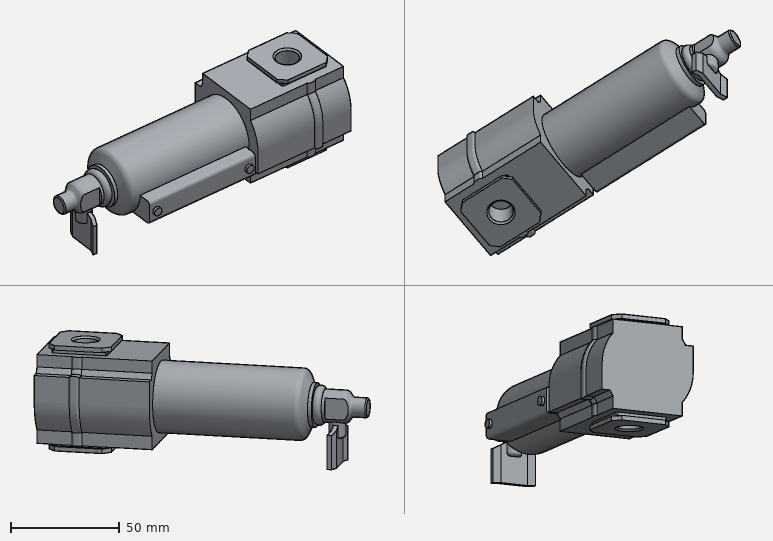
import cadquery as cq
import math


overall_length = 152.8

head_length = 54.5
head_half_width = 17.9
head_half_height = 21.1
shoulder_half_width = 23.5
shoulder_top = 12.5
shoulder_inner = 19.5
bevel_top = 15.3
curve_end = -14.7

rib_height = 0.8
rib_top_width = 2.0
rib_foot_width = 4.7
rib_root = 0.6

port_y = 35.6
pad_size = 29.5
pad_corner = 3.5
pad_outer_z = 25.0
pad_inner_z = 22.9
neck_size = 26.0
neck_corner = 0.6
port_radius = 5.7
port_mouth_radius = 6.5
port_mouth_depth = 0.9
port_depth = 12.2

bowl_radius = 16.8
bowl_corner_y = -68.6
bowl_corner_fillet = 3.0
collar_radius = 10.4
collar_start_y = -71.8
bowl_end_y = -73.6

gauge_length = 61.9
gauge_centre_y = -32.9
gauge_outer_x = 24.0
gauge_top = 0.0
gauge_bottom = -12.5
gauge_fillet = 1.8
screw_radius = 2.1
screw_head_x = 25.4
screw_spacing = 54.0

ring_radius = 9.3
ring_curve = 2.3
ring_crown_y = -75.5
cock_radius = 15.5 / 2
cock_shoulder_y = -88.6
cock_shoulder_fillet = 2.1
flat_half_width = 11.8 / 2
flat_start_y = -79.2
nozzle_radius = 9.3 / 2
nozzle_start_y = -91.0
nozzle_root_fillet = 1.0
nozzle_end_y = head_length - overall_length
nozzle_chamfer = 0.6

stem_y = -83.6
stem_radius = 7.8 / 2
stem_end_z = -14.8
stem_fillet = 1.5
wing_thickness = 2.3
wing_half_width = 10.2
wing_bend_x = 6.9
wing_tip_offset = 1.45
wing_bottom = -27.8
wing_side_top = -11.6
wing_peak = -6.3


def flank_path(workplane):
    """Left flank of the head section, from the upper edge down to the lower one."""
    half_chord = math.hypot(shoulder_half_width - head_half_width, curve_end) / 2
    flank_radius = 2 * half_chord**2 / (shoulder_half_width - head_half_width)
    return (
        workplane.moveTo(-head_half_width, head_half_height)
        .lineTo(-head_half_width, bevel_top)
        .lineTo(-shoulder_inner, shoulder_top)
        .lineTo(-shoulder_half_width, shoulder_top)
        .lineTo(-shoulder_half_width, 0)
        .radiusArc((-head_half_width, curve_end), -flank_radius)
        .lineTo(-head_half_width, -head_half_height)
    )


def half_turn(shape):
    return shape.rotate((0, 0, 0), (0, 1, 0), 180)


def circles_at(y):
    """Selects the edges of a turned shape that lie at one place along its axis."""
    margin = 0.2
    return cq.selectors.BoxSelector(
        (-bowl_radius, y - margin, -bowl_radius),
        (bowl_radius, y + margin, bowl_radius),
    )


def make_head_block():
    """Section with the same flank on both sides, turned half round about Y."""
    left_half = flank_path(cq.Workplane("XZ")).lineTo(0, -head_half_height).lineTo(0, head_half_height)
    left_half = left_half.close().extrude(-head_length)
    return left_half.union(half_turn(left_half))


def make_rib():
    """Rib with hollow sides that follows the left flank from top to bottom."""
    half_top = rib_top_width / 2
    half_foot = rib_foot_width / 2
    side_run = half_foot - half_top
    side_radius = (side_run**2 + rib_height**2) / (2 * rib_height)
    section = (
        cq.Workplane("XY", origin=(-head_half_width, port_y, head_half_height))
        .moveTo(rib_root, -half_foot)
        .lineTo(0, -half_foot)
        .radiusArc((-rib_height, -half_top), side_radius)
        .lineTo(-rib_height, half_top)
        .radiusArc((0, half_foot), side_radius)
        .lineTo(rib_root, half_foot)
        .close()
    )
    path = flank_path(cq.Workplane("XZ", origin=(0, port_y, 0)))
    return section.sweep(path, transition="right")


def cornered_plate(size, corner, bottom, top):
    plate = cq.Workplane("XY", origin=(0, port_y, bottom)).rect(size, size).extrude(top - bottom)
    return plate.edges("|Z").chamfer(corner)


def make_port_pad():
    neck = cornered_plate(neck_size, neck_corner, head_half_height, pad_inner_z)
    return neck.union(cornered_plate(pad_size, pad_corner, pad_inner_z, pad_outer_z))


def make_port_bore():
    """Blind bore with a countersunk mouth, turned about the port axis."""
    return (
        cq.Workplane("XZ", origin=(0, port_y, 0))
        .moveTo(0, pad_outer_z)
        .lineTo(port_mouth_radius, pad_outer_z)
        .lineTo(port_radius, pad_outer_z - port_mouth_depth)
        .lineTo(port_radius, pad_outer_z - port_depth)
        .lineTo(0, pad_outer_z - port_depth)
        .close()
        .revolve(360, (0, 0), (0, 1))
    )


def make_head():
    head = make_head_block()
    for feature in (make_rib(), make_port_pad()):
        head = head.union(feature).union(half_turn(feature))
    bore = make_port_bore()
    return head.cut(bore).cut(half_turn(bore))


def make_gauge():
    """Level gauge: a rounded strip that starts at the bowl axis, with a screw head near each end."""
    height = gauge_top - gauge_bottom
    centre_z = (gauge_top + gauge_bottom) / 2
    strip = (
        cq.Workplane("XY")
        .box(gauge_outer_x, gauge_length, height, centered=(False, True, True))
        .translate((0, gauge_centre_y, centre_z))
        .edges("|Y and >X")
        .fillet(gauge_fillet)
    )
    screws = (
        cq.Workplane("YZ", origin=(0, gauge_centre_y, centre_z))
        .pushPoints([(-screw_spacing / 2, 0), (screw_spacing / 2, 0)])
        .circle(screw_radius)
        .extrude(screw_head_x)
    )
    return strip.union(screws)


def make_bowl():
    shell = (
        cq.Workplane("XY")
        .lineTo(bowl_radius, 0)
        .lineTo(bowl_radius, bowl_corner_y)
        .lineTo(collar_radius, collar_start_y)
        .lineTo(collar_radius, bowl_end_y)
        .lineTo(0, bowl_end_y)
        .close()
        .revolve(360, (0, 0), (0, 1))
    )
    shell = shell.edges(circles_at(bowl_corner_y)).fillet(bowl_corner_fillet)
    return shell.union(make_gauge())


def make_cock_body():
    """Turned body with a rounded ring, a sloping shoulder and a nozzle, and a flat on each side."""
    curve_centre = ring_radius - ring_curve
    ring_start_radius = curve_centre + math.sqrt(ring_curve**2 - (bowl_end_y - ring_crown_y) ** 2)
    ring_end_y = ring_crown_y - math.sqrt(ring_curve**2 - (cock_radius - curve_centre) ** 2)
    body = (
        cq.Workplane("XY")
        .moveTo(0, bowl_end_y)
        .lineTo(ring_start_radius, bowl_end_y)
        .radiusArc((ring_radius, ring_crown_y), ring_curve)
        .radiusArc((cock_radius, ring_end_y), ring_curve)
        .lineTo(cock_radius, cock_shoulder_y)
        .lineTo(nozzle_radius, nozzle_start_y)
        .lineTo(nozzle_radius, nozzle_end_y)
        .lineTo(0, nozzle_end_y)
        .close()
        .revolve(360, (0, 0), (0, 1))
    )
    body = body.edges(circles_at(cock_shoulder_y)).fillet(cock_shoulder_fillet)
    body = body.edges(circles_at(nozzle_start_y)).fillet(nozzle_root_fillet)
    body = body.faces("<Y").edges().chamfer(nozzle_chamfer)
    flat_length = flat_start_y - nozzle_start_y
    flat_cut = (
        cq.Workplane("XY")
        .box(cock_radius, flat_length, 2 * cock_radius, centered=(False, False, True))
        .translate((flat_half_width, nozzle_start_y, 0))
    )
    return body.cut(flat_cut).cut(half_turn(flat_cut))


def make_wing():
    """Bent plate: the -X tip leans to +Y and the +X tip to -Y; its top rises to a peak in the stem."""
    half = wing_thickness / 2
    plan = (
        cq.Workplane("XY", origin=(0, stem_y, wing_bottom))
        .moveTo(-wing_half_width, wing_tip_offset + half)
        .lineTo(-wing_bend_x, half)
        .lineTo(wing_bend_x, half)
        .lineTo(wing_half_width, half - wing_tip_offset)
        .lineTo(wing_half_width, -half - wing_tip_offset)
        .lineTo(wing_bend_x, -half)
        .lineTo(-wing_bend_x, -half)
        .lineTo(-wing_half_width, wing_tip_offset - half)
        .close()
        .extrude(wing_peak - wing_bottom)
    )
    outline = (
        cq.Workplane("XZ", origin=(0, stem_y, 0))
        .moveTo(-wing_half_width, wing_bottom)
        .lineTo(-wing_half_width, wing_side_top)
        .lineTo(0, wing_peak)
        .lineTo(wing_half_width, wing_side_top)
        .lineTo(wing_half_width, wing_bottom)
        .close()
        .extrude(wing_thickness + wing_tip_offset, both=True)
    )
    return plan.intersect(outline)


def make_drain_cock():
    stem = cq.Workplane("XY", origin=(0, stem_y, 0)).circle(stem_radius).extrude(stem_end_z)
    stem = stem.faces("<Z").edges().fillet(stem_fillet)
    return make_cock_body().union(stem).union(make_wing())


head = make_head()
bowl = make_bowl()
drain_cock = make_drain_cock()

result = cq.Compound.makeCompound([body.solids().val() for body in (head, bowl, drain_cock)])